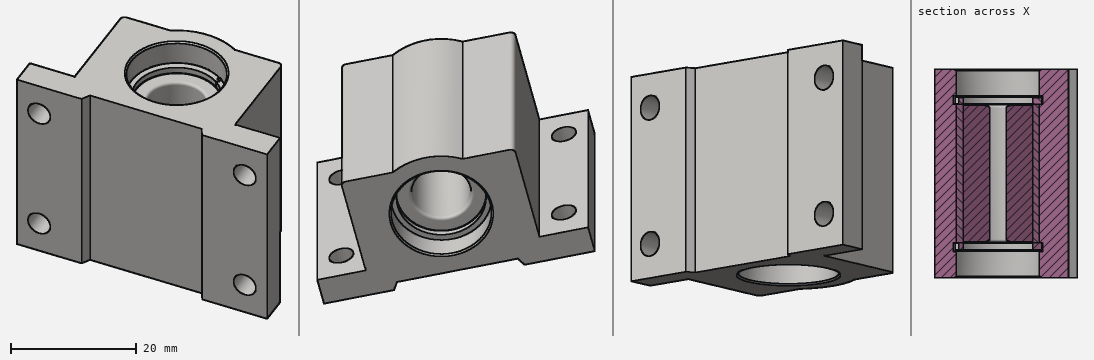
import cadquery as cq

base_width = 44.45
block_length = 33.3375
base_thickness = 4.75
body_width = 28.5
body_height = 22.2
body_corner_radius = 0.8
overall_height = 23.79
bore_height = 12.7
crown_radius = overall_height - bore_height

channel_depth = 1.4
channel_floor_width = 19.8
channel_mouth_width = 21.4

hole_diameter = 3.97
hole_spacing_x = 36.51
hole_spacing_z = 22.225

bearing_diameter = 16.05
bearing_length = 22.225
liner_diameter = 14.32
liner_recess = 0.14
shaft_diameter = 9.525
liner_lip_radius = 0.475

bore_chamfer = 0.28

ring_thickness = 1.07
ring_gap = 0.12
ring_gap_angle = 54.5
ring_notch_width = 0.65
ring_notch_radius = 7.75
groove_diameter = 16.9
groove_width = 1.3

bore_radius = bearing_diameter / 2
groove_radius = groove_diameter / 2
half_length = block_length / 2
bearing_end = bearing_length / 2
liner_radius = liner_diameter / 2
liner_end = bearing_end - liner_recess
ring_inner_radius = liner_radius


def bore_disc(radius, start, length):
    """Cylinder on the bore axis, from z = start upward."""
    return cq.Workplane("XY", origin=(0, bore_height, start)).circle(radius).extrude(length)


def make_housing():
    """Flanged block with a crowned top, a grooved bore along Z and mounting holes along Y."""
    half_base = base_width / 2
    half_body = body_width / 2
    half_mouth = channel_mouth_width / 2
    half_floor = channel_floor_width / 2
    block = (
        cq.Workplane("XY", origin=(0, 0, -half_length))
        .polyline([
            (-half_base, 0),
            (-half_mouth, 0),
            (-half_floor, channel_depth),
            (half_floor, channel_depth),
            (half_mouth, 0),
            (half_base, 0),
            (half_base, base_thickness),
            (half_body, base_thickness),
            (half_body, body_height),
            (-half_body, body_height),
            (-half_body, base_thickness),
            (-half_base, base_thickness),
        ])
        .close()
        .extrude(block_length)
    )
    block = block.edges("|Z and >Y").fillet(body_corner_radius)
    block = block.union(bore_disc(crown_radius, -half_length, block_length))

    block = block.cut(bore_disc(bore_radius, -half_length, block_length))
    for groove_start in (bearing_end, -bearing_end - groove_width):
        block = block.cut(bore_disc(groove_radius, groove_start, groove_width))

    bore_mouths = cq.selectors.BoxSelector(
        (-groove_radius, bore_height - groove_radius, -block_length),
        (groove_radius, bore_height + groove_radius, block_length),
        boundingbox=True,
    )
    block = block.faces("<Z or >Z").edges(bore_mouths).chamfer(bore_chamfer)

    mounting_holes = (
        cq.Workplane("XZ")
        .rarray(hole_spacing_x, hole_spacing_z, 2, 2)
        .circle(hole_diameter / 2)
        .extrude(-base_thickness)
    )
    return block.cut(mounting_holes)


def make_bearing_sleeve():
    """Outer tube held between the two retaining rings."""
    sleeve = bore_disc(bore_radius, -bearing_end, bearing_length)
    return sleeve.cut(bore_disc(liner_radius, -bearing_end, bearing_length))


def make_bearing_liner():
    """Tube that carries the shaft, set slightly below both sleeve ends, with rounded bore mouths."""
    liner = bore_disc(liner_radius, -liner_end, 2 * liner_end)
    liner = liner.cut(bore_disc(shaft_diameter / 2, -liner_end, 2 * liner_end))
    bore_mouths = cq.selectors.RadiusNthSelector(0)
    return liner.faces("<Z or >Z").edges(bore_mouths).fillet(liner_lip_radius)


def make_retaining_ring(start):
    """Split ring seated in its groove against the sleeve end, with an outer corner notched at the split."""
    ring = bore_disc(groove_radius, start, ring_thickness)
    ring = ring.cut(bore_disc(ring_inner_radius, start, ring_thickness))
    split = (
        cq.Workplane("XY", origin=(0, bore_height, start))
        .center(groove_radius, 0)
        .rect(groove_radius, ring_gap)
        .extrude(ring_thickness)
    )
    notch = (
        cq.Workplane("XY", origin=(ring_notch_radius, bore_height, start))
        .rect(groove_radius, ring_notch_width, centered=False)
        .extrude(ring_thickness)
    )
    ring = ring.cut(split).cut(notch)
    return ring.rotate((0, bore_height, 0), (0, bore_height, 1), ring_gap_angle)


housing = make_housing()
bearing_sleeve = make_bearing_sleeve()
bearing_liner = make_bearing_liner()
retaining_rings = [
    make_retaining_ring(start)
    for start in (bearing_end, -bearing_end - ring_thickness)
]

result = cq.Compound.makeCompound([
    housing.val(),
    bearing_sleeve.val(),
    bearing_liner.val(),
    *[ring.val() for ring in retaining_rings],
])